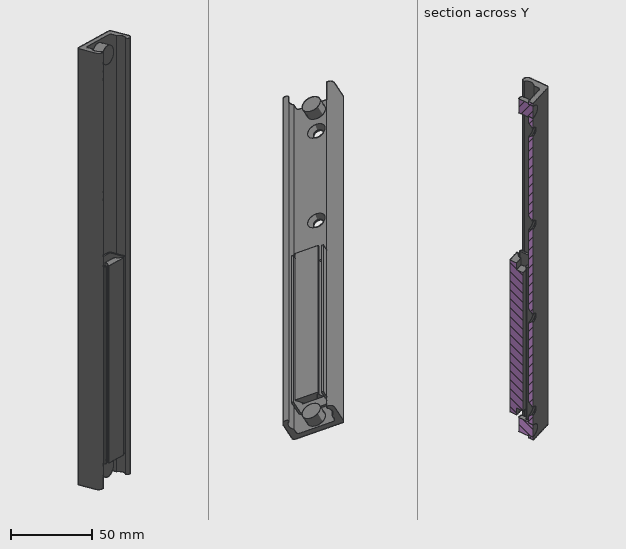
import cadquery as cq
import math

RAIL_LENGTH = 290.0
RAIL_DEPTH = 16.8
RAIL_WIDTH = 35.0
WEB_THICKNESS = 3.5
CAVITY_WIDTH = 26.0
CAVITY_FILLET = 1.5
BACK_EDGE_FILLET = 1.5
FRONT_EDGE_FILLET = 3.0
LIP_FILLET = 1.0

MOUNT_HOLE_DIAMETER = 6.7
COUNTERSINK_DIAMETER = 12.0
COUNTERSINK_ANGLE = 90.0
MOUNT_HOLE_PITCH = 80.0
MOUNT_HOLE_COUNT = 4

RACE_X = 11.5
RAIL_RACE_RADIUS = 4.4
RAIL_RACE_Y = 10.5
SLIDER_RACE_RADIUS = 5.0
SLIDER_RACE_Y = 10.0

SLIDER_BOTTOM = 15.0
SLIDER_LENGTH = 131.0
SLIDER_WIDTH = 15.7
SLIDER_BACK = 7.2
SLIDER_FRONT = 17.0
NOTCH_FRONT = 12.2
NOTCH_HEIGHT = 5.8

CAGE_BACK = 4.4
CAGE_FRONT = 16.2
CAGE_WIDTH = 21.8
CAGE_THICKNESS = 1.3
CAGE_BEND_RADIUS = 1.7

SHANK_DIAMETER = 10.0
HEAD_DIAMETER = 12.5
HEAD_FRONT = 10.7
BUMPER_END_DISTANCE = 7.8
BUMPER_HEIGHTS = (BUMPER_END_DISTANCE, RAIL_LENGTH - BUMPER_END_DISTANCE)


def bar(x_start, x_end, width, z_start, length):
    """Upright rectangular bar centred on Y."""
    return cq.Workplane("XY", origin=(x_start, 0, z_start)).box(
        x_end - x_start, width, length, centered=(False, True, False)
    )


def x_cylinder(diameter, x_start, x_end, z):
    """Cylinder along X in the middle of the width."""
    return cq.Workplane("YZ", origin=(x_start, 0, z)).circle(diameter / 2).extrude(x_end - x_start)


def raceway_cutter(radius, y, z_start, length):
    """Mirrored pair of upright cylinders that carve the raceways."""
    return (
        cq.Workplane("XY", origin=(RACE_X, 0, z_start))
        .pushPoints([(0, y), (0, -y)])
        .circle(radius)
        .extrude(length)
    )


def rail_profile_bar():
    """Rail without its web holes."""
    rail = bar(0, RAIL_DEPTH, RAIL_WIDTH, 0, RAIL_LENGTH)
    rail = rail.edges("|Z and <X").fillet(BACK_EDGE_FILLET)
    rail = rail.edges("|Z and >X").fillet(FRONT_EDGE_FILLET)
    cavity = bar(WEB_THICKNESS, RAIL_DEPTH, CAVITY_WIDTH, 0, RAIL_LENGTH)
    cavity = cavity.edges("|Z and <X").fillet(CAVITY_FILLET)
    rail = rail.cut(cavity)
    rail = rail.cut(raceway_cutter(RAIL_RACE_RADIUS, RAIL_RACE_Y, 0, RAIL_LENGTH))
    for side in (1, -1):
        lip_corner = (RAIL_DEPTH, side * CAVITY_WIDTH / 2, RAIL_LENGTH / 2)
        rail = rail.edges(cq.selectors.NearestToPointSelector(lip_corner)).fillet(LIP_FILLET)
    return rail


def mount_hole_cutter(z):
    """Hole through the rail web, countersunk from the cavity."""
    hole = x_cylinder(MOUNT_HOLE_DIAMETER, 0, WEB_THICKNESS, z)
    radius = COUNTERSINK_DIAMETER / 2
    height = radius / math.tan(math.radians(COUNTERSINK_ANGLE / 2))
    tip = cq.Vector(WEB_THICKNESS - height, 0, z)
    cone = cq.Solid.makeCone(0, radius, height, pnt=tip, dir=cq.Vector(1, 0, 0))
    return hole.union(cq.Workplane(cone))


def make_rail():
    rail = rail_profile_bar()
    for i in range(MOUNT_HOLE_COUNT):
        steps_from_middle = i - (MOUNT_HOLE_COUNT - 1) / 2
        rail = rail.cut(mount_hole_cutter(RAIL_LENGTH / 2 + steps_from_middle * MOUNT_HOLE_PITCH))
    for z in BUMPER_HEIGHTS:
        rail = rail.cut(x_cylinder(SHANK_DIAMETER, 0, WEB_THICKNESS, z))
    return rail


def make_slider():
    slider = bar(SLIDER_BACK, SLIDER_FRONT, SLIDER_WIDTH, SLIDER_BOTTOM, SLIDER_LENGTH)
    slider = slider.cut(raceway_cutter(SLIDER_RACE_RADIUS, SLIDER_RACE_Y, SLIDER_BOTTOM, SLIDER_LENGTH))
    top_notch = SLIDER_BOTTOM + SLIDER_LENGTH - NOTCH_HEIGHT
    for z in (SLIDER_BOTTOM, top_notch):
        slider = slider.cut(bar(SLIDER_BACK, NOTCH_FRONT, SLIDER_WIDTH, z, NOTCH_HEIGHT))
    return slider


def make_cage():
    cage = bar(CAGE_BACK, CAGE_FRONT, CAGE_WIDTH, SLIDER_BOTTOM, SLIDER_LENGTH)
    cage = cage.edges("|Z and <X").fillet(CAGE_BEND_RADIUS)
    inner_width = CAGE_WIDTH - 2 * CAGE_THICKNESS
    inside = bar(CAGE_BACK + CAGE_THICKNESS, CAGE_FRONT, inner_width, SLIDER_BOTTOM, SLIDER_LENGTH)
    inside = inside.edges("|Z and <X").fillet(CAGE_BEND_RADIUS - CAGE_THICKNESS)
    return cage.cut(inside)


def make_bumper(z):
    shank = x_cylinder(SHANK_DIAMETER, 0, WEB_THICKNESS, z)
    head = x_cylinder(HEAD_DIAMETER, WEB_THICKNESS, HEAD_FRONT, z)
    return shank.union(head)


rail = make_rail()
slider = make_slider()
cage = make_cage()
bumpers = [make_bumper(z) for z in BUMPER_HEIGHTS]

result = cq.Compound.makeCompound(
    [rail.val(), slider.val(), cage.val(), *[bumper.val() for bumper in bumpers]]
)